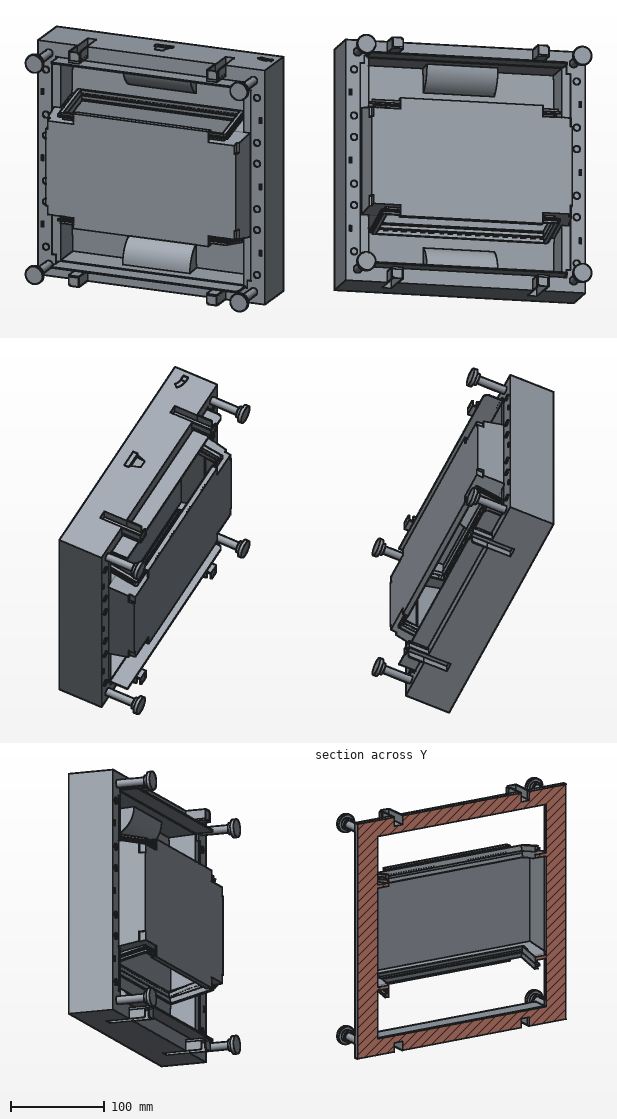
import cadquery as cq
import math


SIDE = 264.0
DEPTH = 51.2

RECESS_HALF = 116.0
RECESS_DEPTH = 2.0
CORNER_BLOCK_WIDTH = 4.5
CORNER_BLOCK_HEIGHT = 8.5
POCKET_HALF_X = 106.5
POCKET_HALF_Z = 113.5
POCKET_TAPER = 1.5
FLOOR_Y = 29.5
FLOOR_FLAT_HALF_Z = 67.0
FLOOR_FALL = 2.5

BULGE_HALF_X = 39.0
BULGE_RADIUS = 31.2
BULGE_TOP_Z = 112.8
BULGE_FRONT_Y = 13.5
BULGE_HEIGHT = 27.7
BULGE_ROOT_Y = 34.3

HOLE_X = 122.8
HOLE_DIAMETER = 7.0
HOLE_HEIGHTS = (25.5, 49.0, 99.8)
SLOT_X = 126.8
SLOT_WIDTH = 2.0
SLOT_HEIGHT = 5.8
SLOT_PITCH = 74.7
BORDER_MARK_DEPTH = 1.0

FLANGE_HALF_X = 108.5
FLANGE_REACH = 19.0
FLANGE_THICKNESS = 1.3
FLANGE_CORNER_RADIUS = 5.3

HOOK_X = 80.3
HOOK_WIDTH = 12.1
HOOK_HEIGHT = 12.1
HOOK_REACH = 23.2
HOOK_WALL = 1.0
HOOK_BASE = 2.0
HOOK_TAB_CHAMFER = 2.0
HOOK_GROOVE_BACK_Y = 26.7
SHORT_WALL_REACH = 18.2
SHORT_WALL_RADIUS = 2.0

POST_OFFSET = 119.0
POST_DIAMETER = 8.7
NECK_DIAMETER = 13.0
FOOT_DIAMETER = 19.8
NECK_Y = 32.7
FOOT_Y = 37.0
TIP_Y = 41.0

LATCH_HALF_X = 10.3
LATCH_BACK_Y = 37.2
LATCH_FRONT_Y = 32.0
LATCH_DEPTH = 0.8
RAMP_WIDE_HALF_X = 8.7
RAMP_NARROW_HALF_X = 4.5
RAMP_FRONT_Y = 20.0
RAMP_DEPTH = 5.0
KEY_X = 123.0
KEY_Y = 34.9
KEY_SIDE = 5.8
KEY_DEPTH = 1.5
ARC_SLOT_WIDTH = 5.3
ARC_SLOT_RADIUS = 15.8
ARC_SLOT_SWEEP = 40.0
ARC_SLOT_DEPTH = 0.8

COVER_FRONT_Y = 28.5
COVER_FRONT_HALF_X = 110.7
COVER_FRONT_HALF_Z = 52.8
COVER_FLARE_X = 3.5
COVER_FLARE_Z = 5.8
COVER_WALL = 4.2
COVER_PLATE = 1.5
TAB_HALF_X = 78.5
TAB_TOP_Z = 64.7
TAB_LIP_Y = 22.2
TAB_LIP_THICKNESS = 1.3
NOTCH_INNER_X = 108.5
NOTCH_Y = 21.7
NOTCH_BOTTOM_Z = 43.3

COLLAR_TILT = 13.0
COLLAR_Z = 68.0
WINDOW_HALF_X = 92.5
WINDOW_LENGTH = 47.8
WINDOW_MIDDLE = 1.2
RIM_HALF_X = 96.7
RIM_LENGTH = 51.5
LIP_HALF_X = 98.8
LIP_LENGTH = 55.5
SOCKET_HALF_X = 94.8
SOCKET_LENGTH = 50.5
DUCT_HALF_X = 93.8
DUCT_LENGTH = 50.0
COLLAR_CORNER_RADIUS = 2.0
RIM_HEIGHT = 2.6
LIP_BOTTOM = 4.5
COLLAR_BOTTOM = 6.0
DUCT_BOTTOM = 13.2
WINDOW_BOTTOM = 21.0

SIGNS = (-1, 1)


def block(x_range, y_range, z_range):
    """Box between two limits on each axis, given in ascending order."""
    size = [high - low for low, high in (x_range, y_range, z_range)]
    corner = (x_range[0], y_range[0], z_range[0])
    return cq.Workplane("XY").box(*size, centered=False).translate(corner)


def front_plane(y):
    """XZ workplane at depth y, with its normal toward -Y."""
    return cq.Workplane("XZ", origin=(0, y, 0))


def frustum(front_y, front_half_x, front_half_z, back_y, back_half_x, back_half_z):
    """Tapered block between a rectangle at front_y and one at back_y."""
    return (
        front_plane(back_y)
        .rect(2 * back_half_x, 2 * back_half_z)
        .workplane(offset=back_y - front_y)
        .rect(2 * front_half_x, 2 * front_half_z)
        .loft(combine=True)
    )


def collar_slab(half_x, length, top, bottom, corner_radius=0.0):
    """Slab parallel to the upper collar's rim plane, between two depths below it."""
    tilt = math.radians(COLLAR_TILT)
    plane = cq.Plane(
        origin=(0, 0, COLLAR_Z),
        xDir=(1, 0, 0),
        normal=(0, -math.sin(tilt), math.cos(tilt)),
    )
    slab = (
        cq.Workplane(plane)
        .workplane(offset=-bottom)
        .center(0, WINDOW_MIDDLE)
        .rect(2 * half_x, length)
        .extrude(bottom - top)
    )
    if corner_radius:
        slab = slab.edges(cq.selectors.ParallelDirSelector(plane.zDir)).fillet(corner_radius)
    return slab


def mirrored(shape):
    """Copy of a shape on the other side of the mid plane Z = 0."""
    return shape.mirror("XY")


def cut_pocket():
    """Tapered pocket whose floor slopes away above and below its flat middle."""
    floor_end_y = FLOOR_Y + FLOOR_FALL
    tapered = frustum(
        RECESS_DEPTH, POCKET_HALF_X, POCKET_HALF_Z,
        floor_end_y, POCKET_HALF_X - POCKET_TAPER, POCKET_HALF_Z - POCKET_TAPER,
    )
    section = (
        cq.Workplane("YZ", origin=(-POCKET_HALF_X, 0, 0))
        .polyline([
            (RECESS_DEPTH, -POCKET_HALF_Z),
            (floor_end_y, -POCKET_HALF_Z),
            (FLOOR_Y, -FLOOR_FLAT_HALF_Z),
            (FLOOR_Y, FLOOR_FLAT_HALF_Z),
            (floor_end_y, POCKET_HALF_Z),
            (RECESS_DEPTH, POCKET_HALF_Z),
        ])
        .close()
        .extrude(2 * POCKET_HALF_X)
    )
    return tapered.intersect(section)


def upper_bulge():
    """Part-cylinder on the pocket floor, running into the upper pocket wall."""
    axis_y = BULGE_FRONT_Y + BULGE_RADIUS
    end_angle = math.asin(BULGE_HEIGHT / BULGE_RADIUS)

    def arc_point(angle):
        return (axis_y - BULGE_RADIUS * math.cos(angle), BULGE_TOP_Z - BULGE_RADIUS * math.sin(angle))

    return (
        cq.Workplane("YZ", origin=(-BULGE_HALF_X, 0, 0))
        .moveTo(BULGE_FRONT_Y, POCKET_HALF_Z)
        .lineTo(*arc_point(0))
        .threePointArc(arc_point(end_angle / 2), arc_point(end_angle))
        .lineTo(BULGE_ROOT_Y, BULGE_TOP_Z - BULGE_HEIGHT)
        .lineTo(BULGE_ROOT_Y, POCKET_HALF_Z)
        .close()
        .extrude(2 * BULGE_HALF_X)
    )


def corner_blocks():
    """Small blocks that fill the corners of the front recess."""
    x = RECESS_HALF - CORNER_BLOCK_WIDTH / 2
    z = RECESS_HALF - CORNER_BLOCK_HEIGHT / 2
    return (
        front_plane(RECESS_DEPTH)
        .pushPoints([(sx * x, sz * z) for sx in SIGNS for sz in SIGNS])
        .rect(CORNER_BLOCK_WIDTH, CORNER_BLOCK_HEIGHT)
        .extrude(RECESS_DEPTH)
    )


def border_marks():
    """Round and rectangular shallow recesses along the left and right borders."""
    holes = (
        front_plane(BORDER_MARK_DEPTH)
        .pushPoints([(sx * HOLE_X, sz * z) for sx in SIGNS for sz in SIGNS for z in HOLE_HEIGHTS])
        .circle(HOLE_DIAMETER / 2)
        .extrude(BORDER_MARK_DEPTH)
    )
    slots = (
        front_plane(BORDER_MARK_DEPTH)
        .pushPoints([(sx * SLOT_X, row * SLOT_PITCH) for sx in SIGNS for row in (-1, 0, 1)])
        .rect(SLOT_WIDTH, SLOT_HEIGHT)
        .extrude(BORDER_MARK_DEPTH)
    )
    return holes.union(slots)


def upper_flange():
    """Thin shelf standing out of the front, rounded at its free +X corner."""
    shelf = block(
        (-FLANGE_HALF_X, FLANGE_HALF_X),
        (-FLANGE_REACH, RECESS_DEPTH),
        (RECESS_HALF - FLANGE_THICKNESS, RECESS_HALF),
    )
    return shelf.edges("|Z and >X and <Y").fillet(FLANGE_CORNER_RADIUS)


def hook_body(x):
    """Solid outline of an upper hook, before its groove is cut."""
    top = SIDE / 2
    return block(
        (x - HOOK_WIDTH / 2, x + HOOK_WIDTH / 2), (-HOOK_REACH, 0), (top - HOOK_HEIGHT, top)
    )


def hook_groove(x):
    """Groove of an upper hook, the gap that shortens its +X wall and the tab's corner cut."""
    top = SIDE / 2
    groove_half = HOOK_WIDTH / 2 - HOOK_WALL
    tab_back_y = -HOOK_REACH + HOOK_WALL
    z_range = (top - HOOK_HEIGHT + HOOK_BASE, top)
    groove = block((x - groove_half, x + groove_half), (tab_back_y, HOOK_GROOVE_BACK_Y), z_range)
    wall_end = -SHORT_WALL_REACH
    arc_middle = SHORT_WALL_RADIUS * (1 - math.sqrt(0.5))
    gap = (
        cq.Workplane("YZ", origin=(x, 0, 0))
        .moveTo(tab_back_y, z_range[0])
        .lineTo(wall_end, z_range[0])
        .lineTo(wall_end, top - SHORT_WALL_RADIUS)
        .threePointArc((wall_end + arc_middle, top - arc_middle), (wall_end + SHORT_WALL_RADIUS, top))
        .lineTo(tab_back_y, top)
        .close()
        .extrude(HOOK_WIDTH / 2)
    )
    corner_x = x + HOOK_WIDTH / 2
    tab_corner = (
        front_plane(tab_back_y)
        .polyline([(corner_x, top), (corner_x - HOOK_TAB_CHAMFER, top), (corner_x, top - HOOK_TAB_CHAMFER)])
        .close()
        .extrude(HOOK_WALL)
    )
    return groove.union(gap).union(tab_corner)


def post(x, z):
    """Round post with a neck and a wider foot."""
    steps = [(POST_DIAMETER, TIP_Y, 0), (NECK_DIAMETER, TIP_Y, NECK_Y), (FOOT_DIAMETER, TIP_Y, FOOT_Y)]
    shape = None
    for diameter, reach, start in steps:
        step = front_plane(-start).center(x, z).circle(diameter / 2).extrude(reach - start)
        shape = step if shape is None else shape.union(step)
    return shape


def latch_recess():
    """Shallow rectangle in the top face with a ramp that rises toward the front."""
    top = SIDE / 2
    rectangle = block(
        (-LATCH_HALF_X, LATCH_HALF_X), (LATCH_FRONT_Y, LATCH_BACK_Y), (top - LATCH_DEPTH, top)
    )
    ramp_outline = (
        cq.Workplane("XY", origin=(0, 0, top - RAMP_DEPTH))
        .polyline([
            (-RAMP_WIDE_HALF_X, LATCH_FRONT_Y),
            (RAMP_WIDE_HALF_X, LATCH_FRONT_Y),
            (RAMP_NARROW_HALF_X, RAMP_FRONT_Y),
            (-RAMP_NARROW_HALF_X, RAMP_FRONT_Y),
        ])
        .close()
        .extrude(RAMP_DEPTH)
    )
    ramp_wedge = (
        cq.Workplane("YZ", origin=(-RAMP_WIDE_HALF_X, 0, 0))
        .polyline([(RAMP_FRONT_Y, top), (LATCH_FRONT_Y, top), (LATCH_FRONT_Y, top - RAMP_DEPTH)])
        .close()
        .extrude(2 * RAMP_WIDE_HALF_X)
    )
    return rectangle.union(ramp_outline.intersect(ramp_wedge))


def key_recess():
    """Square recess in the top face with a shallow curved slot leading to it."""
    top = SIDE / 2
    square = (
        cq.Workplane("XY", origin=(KEY_X, KEY_Y, top - KEY_DEPTH))
        .rect(KEY_SIDE, KEY_SIDE)
        .extrude(KEY_DEPTH)
    )
    start_x = KEY_X - KEY_SIDE / 2
    axis_y = KEY_Y + ARC_SLOT_RADIUS
    inner_radius = ARC_SLOT_RADIUS - ARC_SLOT_WIDTH / 2
    outer_radius = ARC_SLOT_RADIUS + ARC_SLOT_WIDTH / 2

    def arc_point(radius, degrees):
        angle = math.radians(degrees)
        return (start_x - radius * math.sin(angle), axis_y - radius * math.cos(angle))

    curved_slot = (
        cq.Workplane("XY", origin=(0, 0, top - ARC_SLOT_DEPTH))
        .moveTo(*arc_point(inner_radius, 0))
        .threePointArc(
            arc_point(inner_radius, ARC_SLOT_SWEEP / 2), arc_point(inner_radius, ARC_SLOT_SWEEP)
        )
        .lineTo(*arc_point(outer_radius, ARC_SLOT_SWEEP))
        .threePointArc(
            arc_point(outer_radius, ARC_SLOT_SWEEP / 2), arc_point(outer_radius, 0)
        )
        .close()
        .extrude(ARC_SLOT_DEPTH)
    )
    return square.union(curved_slot)


def cover_shell():
    """Tapered hollow cover that stands on the ledge around the pocket."""
    outer = frustum(
        -COVER_FRONT_Y, COVER_FRONT_HALF_X, COVER_FRONT_HALF_Z,
        RECESS_DEPTH, COVER_FRONT_HALF_X + COVER_FLARE_X, COVER_FRONT_HALF_Z + COVER_FLARE_Z,
    )
    inner = frustum(
        -COVER_FRONT_Y + COVER_PLATE,
        COVER_FRONT_HALF_X - COVER_WALL,
        COVER_FRONT_HALF_Z - COVER_WALL,
        RECESS_DEPTH,
        COVER_FRONT_HALF_X + COVER_FLARE_X - COVER_WALL,
        COVER_FRONT_HALF_Z + COVER_FLARE_Z - COVER_WALL,
    )
    shell = outer.cut(inner)
    for sx in SIGNS:
        for sz in SIGNS:
            x_range = sorted((sx * NOTCH_INNER_X, sx * SIDE / 2))
            z_range = sorted((sz * NOTCH_BOTTOM_Z, sz * TAB_TOP_Z))
            shell = shell.cut(block(x_range, (-COVER_FRONT_Y, -NOTCH_Y), z_range))
    return shell


def upper_rear_deck():
    """Sloping wall that carries the cover's upper side from the ledge back to the pocket floor."""
    ledge_z = COVER_FRONT_HALF_Z + COVER_FLARE_Z
    return (
        cq.Workplane("YZ", origin=(-POCKET_HALF_X, 0, 0))
        .polyline([
            (RECESS_DEPTH, ledge_z),
            (FLOOR_Y, FLOOR_FLAT_HALF_Z),
            (FLOOR_Y, FLOOR_FLAT_HALF_Z - COVER_WALL),
            (RECESS_DEPTH, ledge_z - COVER_WALL),
        ])
        .close()
        .extrude(2 * POCKET_HALF_X)
    )


def upper_tab():
    """Front plate extension that hooks over the front of the upper collar."""
    x_range = (-TAB_HALF_X, TAB_HALF_X)
    plate = block(
        x_range,
        (-COVER_FRONT_Y, -COVER_FRONT_Y + COVER_PLATE),
        (COVER_FRONT_HALF_Z - COVER_WALL, TAB_TOP_Z),
    )
    lip = block(x_range, (-COVER_FRONT_Y, -TAB_LIP_Y), (TAB_TOP_Z - TAB_LIP_THICKNESS, TAB_TOP_Z))
    return plate.union(lip)


def upper_window():
    """Opening through a collar, the duct below it and the cover wall."""
    return collar_slab(WINDOW_HALF_X, WINDOW_LENGTH, 0, WINDOW_BOTTOM)


def make_collar():
    """Stepped rectangular frame around the upper window."""
    rim = collar_slab(RIM_HALF_X, RIM_LENGTH, 0, RIM_HEIGHT, COLLAR_CORNER_RADIUS)
    lip = collar_slab(LIP_HALF_X, LIP_LENGTH, RIM_HEIGHT, LIP_BOTTOM, COLLAR_CORNER_RADIUS)
    socket = collar_slab(SOCKET_HALF_X, SOCKET_LENGTH, LIP_BOTTOM, COLLAR_BOTTOM)
    return rim.union(lip).union(socket).cut(upper_window())


def make_housing():
    half = SIDE / 2
    body = block((-half, half), (0, DEPTH), (-half, half))

    recess = front_plane(RECESS_DEPTH).rect(2 * RECESS_HALF, 2 * RECESS_HALF).extrude(RECESS_DEPTH)
    body = body.cut(recess).cut(cut_pocket()).union(corner_blocks()).cut(border_marks())
    body = body.union(upper_bulge()).union(mirrored(upper_bulge()))

    body = body.union(upper_flange()).union(mirrored(upper_flange()))

    for turn in (0, 180):
        for sx in SIGNS:
            solid = hook_body(sx * HOOK_X).rotate((0, 0, 0), (0, 1, 0), turn)
            groove = hook_groove(sx * HOOK_X).rotate((0, 0, 0), (0, 1, 0), turn)
            body = body.union(solid).cut(groove)

    for sx in SIGNS:
        for sz in SIGNS:
            body = body.union(post(sx * POST_OFFSET, sz * POST_OFFSET))

    body = body.cut(latch_recess()).cut(key_recess())

    duct = collar_slab(DUCT_HALF_X, DUCT_LENGTH, COLLAR_BOTTOM, DUCT_BOTTOM)
    cover = cover_shell()
    for part in (upper_tab(), upper_rear_deck(), duct):
        cover = cover.union(part).union(mirrored(part))
    cover = cover.cut(upper_window()).cut(mirrored(upper_window()))
    return body.union(cover)


housing = make_housing()

collars = []
for turn in (0, 180):
    collars.append(make_collar().rotate((0, 0, 0), (0, 1, 0), turn))

result = cq.Compound.makeCompound([housing.solids().val(), *[collar.solids().val() for collar in collars]])